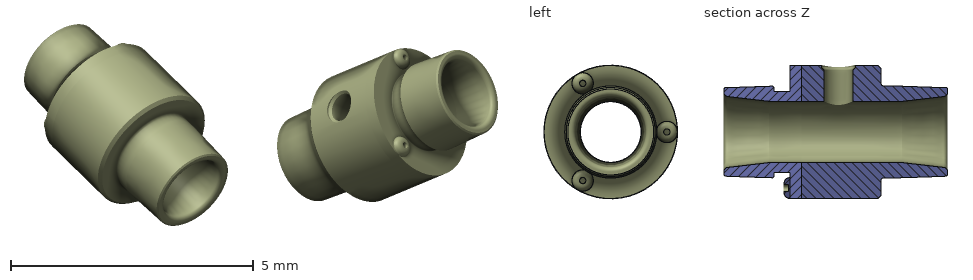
import cadquery as cq
import math

TIP_X = 2.31
CAP_FACE_X = -0.945
CAP_THICKNESS = 0.25
SEAM_X = CAP_FACE_X + CAP_THICKNESS
HOUSING_FACE_X = 0.935
BARB_BACK_X = -1.265
STUB_TAPER_X = 1.285

BODY_R = 2.75 / 2
STUB_R = 1.9 / 2
NECK_R = 1.68 / 2
BORE_R = 1.25 / 2
TIP_R = 0.915
MOUTH_R = 0.735

BORE_TAPER_END_X = 1.37
MOUTH_FILLET = 0.1

TIP_CHAMFER = 0.03
BARB_CHAMFER = 0.03
NECK_FILLET = 0.015
STUB_FILLET = 0.055
BODY_CHAMFER = 0.065

PORT_X = 0.056
PORT_R = 0.59 / 2
PORT_RIM_R = 0.69 / 2

SCREW_COUNT = 3
SCREW_CIRCLE_R = 1.155
HEAD_R = 0.22
HEAD_HEIGHT = 0.125
HEAD_RIM_HEIGHT = 0.02
HEAD_FLAT_R = 0.09
SOCKET_R = 0.065
SOCKET_DEPTH = 0.09

TOLERANCE = 0.001


def turned(profile):
    """Revolve a closed (x, radius) profile about the X axis."""
    return profile.close().revolve(360, (0, 0, 0), (1, 0, 0))


def edges_at(part, x, radius):
    """Select the circular edge about the X axis at the given position and radius."""
    reach = radius + TOLERANCE
    corner_low = (x - TOLERANCE, -reach, -reach)
    corner_high = (x + TOLERANCE, reach, reach)
    in_plane = part.edges(cq.selectors.BoxSelector(corner_low, corner_high, boundingbox=True))
    return in_plane.filter(lambda edge: abs(edge.radius() - radius) < TOLERANCE)


def make_cap():
    """Cover disc with the left hose barb."""
    cap = turned(
        cq.Workplane("XY")
        .moveTo(-TIP_X, MOUTH_R)
        .lineTo(-TIP_X, TIP_R)
        .lineTo(BARB_BACK_X, STUB_R)
        .lineTo(BARB_BACK_X, NECK_R)
        .lineTo(CAP_FACE_X, NECK_R)
        .lineTo(CAP_FACE_X, BODY_R)
        .lineTo(SEAM_X, BODY_R)
        .lineTo(SEAM_X, BORE_R)
        .lineTo(-BORE_TAPER_END_X, BORE_R)
    )
    cap = edges_at(cap, -TIP_X, TIP_R).chamfer(TIP_CHAMFER)
    cap = edges_at(cap, -TIP_X, MOUTH_R).fillet(MOUTH_FILLET)
    cap = edges_at(cap, BARB_BACK_X, STUB_R).chamfer(BARB_CHAMFER)
    return edges_at(cap, CAP_FACE_X, NECK_R).fillet(NECK_FILLET)


def make_port_cutter():
    """Radial hole along +Y, from the bore axis outward, with a 45 degree countersunk rim."""
    rim_depth = PORT_RIM_R - PORT_R
    rim_y = math.sqrt(BODY_R**2 - PORT_RIM_R**2)
    return (
        cq.Workplane("XY")
        .moveTo(PORT_X, 0)
        .lineTo(PORT_X + PORT_R, 0)
        .lineTo(PORT_X + PORT_R, rim_y - rim_depth)
        .lineTo(PORT_X + PORT_RIM_R, rim_y)
        .lineTo(PORT_X + PORT_RIM_R, BODY_R)
        .lineTo(PORT_X, BODY_R)
        .close()
        .revolve(360, (PORT_X, 0, 0), (PORT_X, 1, 0))
    )


def make_housing():
    """Main drum with the right hose stub and the side port."""
    housing = turned(
        cq.Workplane("XY")
        .moveTo(SEAM_X, BORE_R)
        .lineTo(SEAM_X, BODY_R)
        .lineTo(HOUSING_FACE_X, BODY_R)
        .lineTo(HOUSING_FACE_X, STUB_R)
        .lineTo(STUB_TAPER_X, STUB_R)
        .lineTo(TIP_X, TIP_R)
        .lineTo(TIP_X, MOUTH_R)
        .lineTo(BORE_TAPER_END_X, BORE_R)
    )
    housing = edges_at(housing, TIP_X, TIP_R).chamfer(TIP_CHAMFER)
    housing = edges_at(housing, TIP_X, MOUTH_R).fillet(MOUTH_FILLET)
    housing = edges_at(housing, HOUSING_FACE_X, BODY_R).chamfer(BODY_CHAMFER)
    housing = edges_at(housing, HOUSING_FACE_X, STUB_R).fillet(STUB_FILLET)
    return housing.cut(make_port_cutter())


def make_screw(angle):
    """Domed screw head resting on the cap face, at an angle about X measured from -Y."""
    top_x = CAP_FACE_X - HEAD_HEIGHT
    rim_x = CAP_FACE_X - HEAD_RIM_HEIGHT
    socket_floor_x = top_x + SOCKET_DEPTH
    head = turned(
        cq.Workplane("XY")
        .moveTo(CAP_FACE_X, 0)
        .lineTo(socket_floor_x, 0)
        .lineTo(socket_floor_x, SOCKET_R)
        .lineTo(top_x, SOCKET_R)
        .lineTo(top_x, HEAD_FLAT_R)
        .tangentArcPoint((rim_x, HEAD_R), relative=False)
        .lineTo(CAP_FACE_X, HEAD_R)
    )
    return head.translate((0, -SCREW_CIRCLE_R, 0)).rotate((0, 0, 0), (1, 0, 0), angle)


cap = make_cap()
housing = make_housing()
screws = [make_screw(index * 360 / SCREW_COUNT) for index in range(SCREW_COUNT)]

result = cq.Compound.makeCompound([cap.val(), housing.val(), *[screw.val() for screw in screws]])